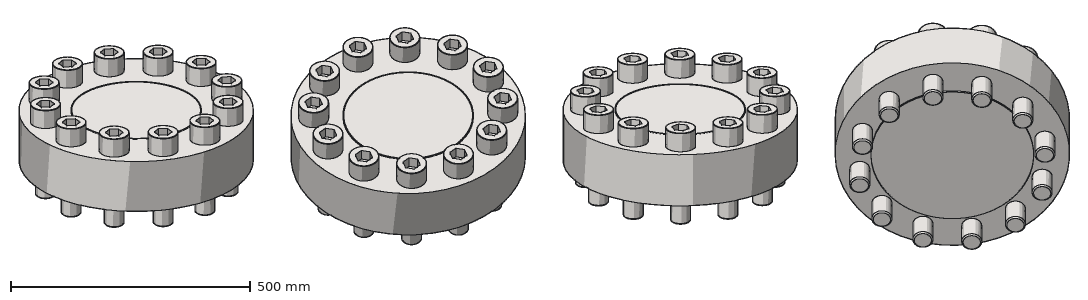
import cadquery as cq
import math

flange_diameter = 490.0
flange_thickness = 116.0

raised_face_diameter = 340.0
raised_face_height = 4.0

groove_outer_diameter = 273.0
groove_width = 2.0
groove_depth = 2.0

bolt_count = 12
bolt_circle_diameter = 395.0
bolt_diameter = 42.0
bolt_length = 170.0
bolt_tip_chamfer = 3.0
head_diameter = 63.0
head_height = 42.0
head_chamfer = 1.0
socket_sides = 6
socket_across_flats = 32.0
socket_corner_angle = 90.0
socket_depth = 24.0


def make_flange():
    plate = cq.Workplane("XY").circle(flange_diameter / 2).extrude(-flange_thickness)
    raised_face = (
        cq.Workplane("XY")
        .workplane(offset=-flange_thickness)
        .circle(raised_face_diameter / 2)
        .extrude(-raised_face_height)
    )
    return plate.union(raised_face)


def make_groove():
    """Ring with an upright outer wall and an inner wall sloping up to the centre."""
    outer_radius = groove_outer_diameter / 2
    return (
        cq.Workplane("XZ")
        .moveTo(outer_radius, 0)
        .lineTo(outer_radius, -groove_depth)
        .lineTo(outer_radius - groove_width, 0)
        .close()
        .revolve(360, (0, 0, 0), (0, 1, 0))
    )


def make_bolt():
    """Cap screw with its axis on Z and its head seated at Z = 0."""
    shank = (
        cq.Workplane("XY")
        .circle(bolt_diameter / 2)
        .extrude(-bolt_length)
        .faces("<Z")
        .chamfer(bolt_tip_chamfer)
    )
    head = (
        cq.Workplane("XY")
        .circle(head_diameter / 2)
        .extrude(head_height)
        .faces(">Z")
        .chamfer(head_chamfer)
    )
    socket_across_corners = socket_across_flats / math.cos(math.pi / socket_sides)
    socket = (
        cq.Workplane("XY")
        .workplane(offset=head_height)
        .transformed(rotate=(0, 0, socket_corner_angle))
        .polygon(socket_sides, socket_across_corners)
        .extrude(-socket_depth)
    )
    return shank.union(head).cut(socket)


result = make_flange().cut(make_groove())

bolt = make_bolt()
bolt_circle_radius = bolt_circle_diameter / 2
bolt_pitch_angle = 2 * math.pi / bolt_count
for index in range(bolt_count):
    angle = (index + 0.5) * bolt_pitch_angle
    x = bolt_circle_radius * math.cos(angle)
    y = bolt_circle_radius * math.sin(angle)
    result = result.union(bolt.translate((x, y, 0)))